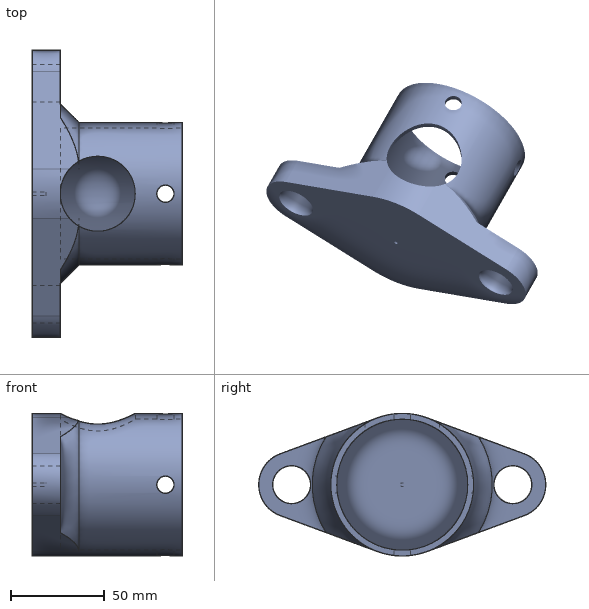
import cadquery as cq
import math

total_length = 80.0
total_width = 153.0
tube_diameter = 76.0
bore_diameter = 69.8
flange_thickness = 15.0
collar_height = 10.0
bolt_spacing = 117.8
bolt_hole_diameter = 20.0
window_diameter = 40.0
pin_hole_diameter = 9.0
pin_hole_end_distance = 9.0
center_hole_diameter = 2.0
center_hole_depth = 7.5

tube_radius = tube_diameter / 2
bolt_offset = bolt_spacing / 2
ear_radius = total_width / 2 - bolt_offset
collar_end = flange_thickness + collar_height
window_x = flange_thickness + window_diameter / 2
pin_hole_x = total_length - pin_hole_end_distance


def flange_prism(length):
    """Extrude the central circle and two ear arcs, joined by tangent lines."""
    tangent_sine = (tube_radius - ear_radius) / bolt_offset
    tangent_cosine = math.sqrt(1 - tangent_sine**2)
    hub_y = tube_radius * tangent_sine
    hub_z = tube_radius * tangent_cosine
    ear_y = bolt_offset + ear_radius * tangent_sine
    ear_z = ear_radius * tangent_cosine
    return (
        cq.Workplane("YZ")
        .moveTo(-hub_y, hub_z)
        .threePointArc((0, tube_radius), (hub_y, hub_z))
        .lineTo(ear_y, ear_z)
        .threePointArc((total_width / 2, 0), (ear_y, -ear_z))
        .lineTo(hub_y, -hub_z)
        .threePointArc((0, -tube_radius), (-hub_y, -hub_z))
        .lineTo(-ear_y, -ear_z)
        .threePointArc((-total_width / 2, 0), (-ear_y, ear_z))
        .close()
        .extrude(length)
    )


def tapered_collar():
    """Make the 45 degree collar, trimmed to the flange outline."""
    base_radius = tube_radius + collar_height
    cone = cq.Workplane(
        cq.Solid.makeCone(
            base_radius,
            tube_radius,
            collar_height,
            pnt=cq.Vector(flange_thickness, 0, 0),
            dir=cq.Vector(1, 0, 0),
        )
    )
    return cone.intersect(flange_prism(collar_end))


tube = cq.Workplane("YZ").circle(tube_radius).extrude(total_length)
body = flange_prism(flange_thickness).union(tube).union(tapered_collar())

bore = (
    cq.Workplane("YZ", origin=(flange_thickness, 0, 0))
    .circle(bore_diameter / 2)
    .extrude(total_length - flange_thickness)
)

bolt_holes = (
    cq.Workplane("YZ")
    .pushPoints([(-bolt_offset, 0), (bolt_offset, 0)])
    .circle(bolt_hole_diameter / 2)
    .extrude(collar_end)
)
center_hole = cq.Workplane("YZ").circle(center_hole_diameter / 2).extrude(center_hole_depth)

window = cq.Workplane("XY").center(window_x, 0).circle(window_diameter / 2).extrude(tube_diameter)

pin_hole_z = (
    cq.Workplane("XY")
    .center(pin_hole_x, 0)
    .circle(pin_hole_diameter / 2)
    .extrude(tube_diameter, both=True)
)
pin_hole_y = pin_hole_z.rotate((0, 0, 0), (1, 0, 0), 90)

result = body
for cutter in (bore, bolt_holes, center_hole, window, pin_hole_z, pin_hole_y):
    result = result.cut(cutter)